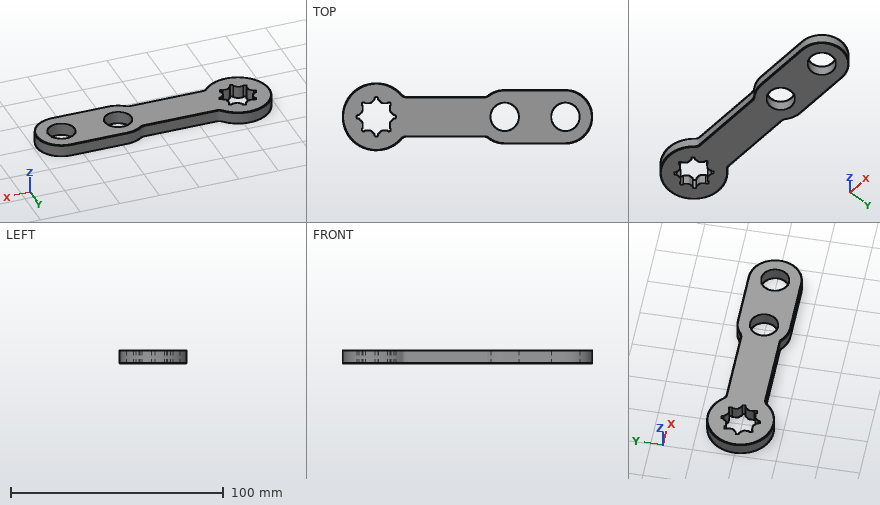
import cadquery as cq
import math

length = 117.5
thickness = 6.3
head_radius = 15.9
arm_width = 18.8
grip_radius = 12.7
blend_radius = 2.9
edge_chamfer = 0.4

grip_hole_diameter = 13.3
grip_hole_spacing = 28.5

point_count = 8
socket_square = 12.7
relief_radius = 0.8
relief_offset = 8.5
valley_radius = 1.4

grip_end_x = length - head_radius - grip_radius
grip_start_x = grip_end_x - grip_hole_spacing


def blend_at(arc_center_x, arc_radius, side):
    """Tangent points and midpoint of the upper fillet joining an end arc to the arm.

    side is +1 when the fillet lies to the right of the arc and -1 when to the left.
    """
    center_y = arm_width / 2 + blend_radius
    reach = arc_radius + blend_radius
    center_x = arc_center_x + side * math.sqrt(reach**2 - center_y**2)
    share = arc_radius / reach
    on_arc = (arc_center_x + (center_x - arc_center_x) * share, center_y * share)
    on_arm = (center_x, arm_width / 2)
    to_arc = math.atan2(-center_y, arc_center_x - center_x)
    middle_angle = (to_arc - math.pi / 2) / 2
    middle = (
        center_x + blend_radius * math.cos(middle_angle),
        center_y + blend_radius * math.sin(middle_angle),
    )
    return on_arc, middle, on_arm


def below(point):
    """Mirror a point across the long axis of the part."""
    return point[0], -point[1]


def arc_middle(center_x, radius, start):
    """Midpoint of the end arc between a start point and the top of the circle."""
    start_angle = math.atan2(start[1], start[0] - center_x)
    angle = (start_angle + math.pi / 2) / 2
    return center_x + radius * math.cos(angle), radius * math.sin(angle)


def make_plate():
    head_on_arc, head_middle, head_on_arm = blend_at(0, head_radius, 1)
    grip_on_arc, grip_middle, grip_on_arm = blend_at(grip_start_x, grip_radius, -1)
    shoulder_middle = arc_middle(grip_start_x, grip_radius, grip_on_arc)
    return (
        cq.Workplane("XY")
        .moveTo(*head_on_arc)
        .threePointArc(head_middle, head_on_arm)
        .lineTo(*grip_on_arm)
        .threePointArc(grip_middle, grip_on_arc)
        .threePointArc(shoulder_middle, (grip_start_x, grip_radius))
        .lineTo(grip_end_x, grip_radius)
        .threePointArc((grip_end_x + grip_radius, 0), (grip_end_x, -grip_radius))
        .lineTo(grip_start_x, -grip_radius)
        .threePointArc(below(shoulder_middle), below(grip_on_arc))
        .threePointArc(below(grip_middle), below(grip_on_arm))
        .lineTo(*below(head_on_arm))
        .threePointArc(below(head_middle), below(head_on_arc))
        .threePointArc((-head_radius, 0), head_on_arc)
        .close()
        .extrude(thickness)
        .faces("|Z")
        .chamfer(edge_chamfer)
    )


def make_socket_cutter():
    square = cq.Workplane("XY").rect(socket_square, socket_square).extrude(thickness)
    star = square.union(square.rotate((0, 0, 0), (0, 0, 1), 360 / point_count))
    valley_offset = socket_square / 2 / math.cos(math.pi / point_count)
    valleys = star.edges("|Z").filter(
        lambda edge: math.hypot(edge.Center().x, edge.Center().y) < valley_offset + relief_radius
    )
    star = valleys.fillet(valley_radius)
    reliefs = (
        cq.Workplane("XY")
        .polarArray(relief_offset, 0, 360, point_count)
        .circle(relief_radius)
        .extrude(thickness)
    )
    return star.union(reliefs)


def make_grip_holes():
    return (
        cq.Workplane("XY")
        .pushPoints([(grip_start_x, 0), (grip_end_x, 0)])
        .circle(grip_hole_diameter / 2)
        .extrude(thickness)
    )


result = make_plate().cut(make_socket_cutter()).cut(make_grip_holes())